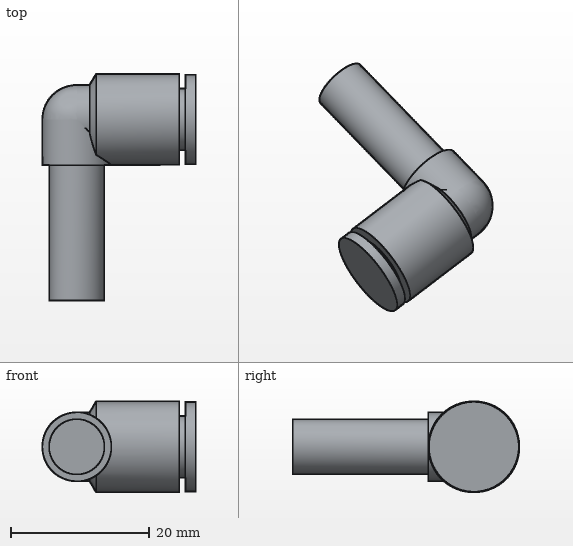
import cadquery as cq

elbow_diameter = 10.0
stem_diameter = 8.0
collar_diameter = 13.2
groove_diameter = 8.95
flange_diameter = 13.0

total_width = 22.2
total_length = 32.8
elbow_radius = elbow_diameter / 2
collar_radius = collar_diameter / 2

cone_start = 1.85
collar_start = 2.8
collar_end = 14.83
flange_start = 15.7
flange_end = total_width - elbow_radius

shoulder_depth = collar_radius
stem_end = total_length - collar_radius


def stem_arm_cylinder(diameter, length):
    """Cylinder from the origin along -Y."""
    return cq.Workplane("XZ").circle(diameter / 2).extrude(length)


def socket_arm():
    """Neck, conical shoulder, collar, groove and flange turned about X."""
    return (
        cq.Workplane("XY")
        .lineTo(0, elbow_radius)
        .lineTo(cone_start, elbow_radius)
        .lineTo(collar_start, collar_radius)
        .lineTo(collar_end, collar_radius)
        .lineTo(collar_end, groove_diameter / 2)
        .lineTo(flange_start, groove_diameter / 2)
        .lineTo(flange_start, flange_diameter / 2)
        .lineTo(flange_end, flange_diameter / 2)
        .lineTo(flange_end, 0)
        .close()
        .revolve(360, (0, 0, 0), (1, 0, 0))
    )


corner = cq.Workplane("XY").sphere(elbow_radius)
shoulder = stem_arm_cylinder(elbow_diameter, shoulder_depth)
stem = stem_arm_cylinder(stem_diameter, stem_end)

result = socket_arm().union(shoulder).union(corner).union(stem)